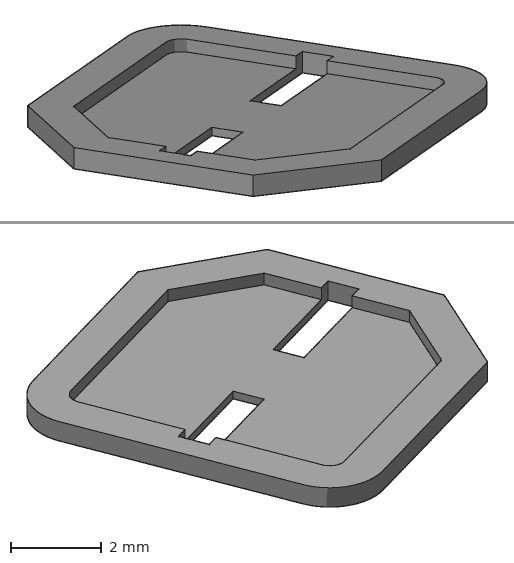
import cadquery as cq

side = 8.6
thickness = 0.5
corner_cut = 2.12
corner_radius = 1.31

rim_width = 0.94
recess_depth = 0.3

slot_width = 0.76
slot_inner_end = 0.99
slot_outer_end = 3.69
slot_length = slot_outer_end - slot_inner_end
slot_centre = (slot_inner_end + slot_outer_end) / 2


def plate(height):
    """Square plate with rounded +Y corners and cut-off -Y corners."""
    body = cq.Workplane("XY").box(side, side, height, centered=(True, True, False))
    body = body.edges("|Z and >Y").fillet(corner_radius)
    return body.edges("|Z and <Y").chamfer(corner_cut)


def recess():
    """Pocket following the outline, inset by the rim width."""
    return (
        plate(thickness)
        .faces(">Z")
        .wires()
        .toPending()
        .workplane()
        .offset2D(-rim_width)
        .extrude(-recess_depth, combine=False)
    )


def slots():
    """Pair of rectangular slots mirrored about the X axis."""
    return (
        cq.Workplane("XY")
        .pushPoints([(0, slot_centre), (0, -slot_centre)])
        .rect(slot_width, slot_length)
        .extrude(thickness)
    )


result = plate(thickness).cut(recess()).cut(slots())